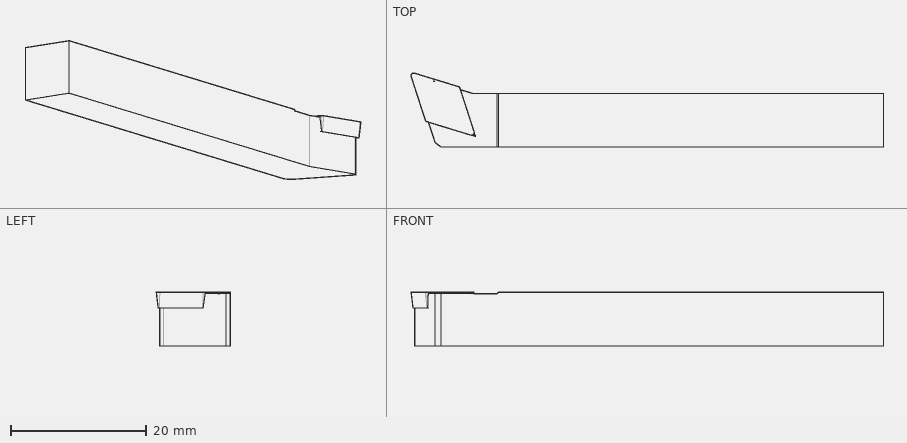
import cadquery as cq
import math

TOTAL_LENGTH = 70.0
SHANK_SIZE = 8.0

TOTAL_WIDTH = 11.0
INSERT_SIDE = 7.8
INSERT_THICKNESS = 2.4
NOSE_ANGLE = 55.0
FACE_TILT = 18.0
RELIEF_ANGLE = 7.0
CORNER_RADIUS = 0.4

HEAD_INSET = 0.35
HEEL_CHAMFER = 0.7
STEP_X = 12.95
STEP_DEPTH = 0.2

LEADING_ANGLE = math.radians(FACE_TILT - 90)
TRAILING_ANGLE = math.radians(FACE_TILT - 90 + NOSE_ANGLE)
BISECTOR_ANGLE = (LEADING_ANGLE + TRAILING_ANGLE) / 2
HALF_NOSE = math.radians(NOSE_ANGLE / 2)


def along(point, angle, distance):
    """Point reached by moving a distance from a point at an angle in the XY plane."""
    return (point[0] + distance * math.cos(angle), point[1] + distance * math.sin(angle))


NOSE_CENTER = (CORNER_RADIUS, TOTAL_WIDTH - CORNER_RADIUS)
TIP = along(NOSE_CENTER, BISECTOR_ANGLE, -CORNER_RADIUS / math.sin(HALF_NOSE))


def diamond():
    """Sketch of the insert's rhombus with sharp corners."""
    heel = along(TIP, LEADING_ANGLE, INSERT_SIDE)
    shoulder = along(TIP, TRAILING_ANGLE, INSERT_SIDE)
    inner = along(heel, TRAILING_ANGLE, INSERT_SIDE)
    return cq.Sketch().polygon([TIP, heel, inner, shoulder, TIP])


def tapered_plate(outline):
    """Plate of the insert's thickness, flush with the shank's top and narrowing downwards."""
    return (
        cq.Workplane("XY", origin=(0, 0, SHANK_SIZE))
        .placeSketch(outline)
        .extrude(-INSERT_THICKNESS, taper=RELIEF_ANGLE)
    )


def make_insert():
    """Rhombic insert with rounded corners."""
    return tapered_plate(diamond().vertices().fillet(CORNER_RADIUS))


def make_holder():
    """Square shank with an angled head, a lowered top and a sharp-cornered seat for the insert."""
    nose = along(TIP, BISECTOR_ANGLE, HEAD_INSET / math.sin(HALF_NOSE))
    heel = along(nose, LEADING_ANGLE, -nose[1] / math.sin(LEADING_ANGLE))
    neck = along(nose, TRAILING_ANGLE, (SHANK_SIZE - nose[1]) / math.sin(TRAILING_ANGLE))

    outline = [
        nose,
        along(heel, LEADING_ANGLE, -HEEL_CHAMFER),
        (heel[0] + HEEL_CHAMFER, 0),
        (TOTAL_LENGTH, 0),
        (TOTAL_LENGTH, SHANK_SIZE),
        neck,
    ]
    body = cq.Workplane("XY").polyline(outline).close().extrude(SHANK_SIZE)
    body = body.edges("|Z").edges(">Y").fillet(CORNER_RADIUS)

    lowered_top = (
        cq.Workplane("XZ")
        .moveTo(0, SHANK_SIZE)
        .lineTo(STEP_X, SHANK_SIZE)
        .lineTo(STEP_X - STEP_DEPTH, SHANK_SIZE - STEP_DEPTH)
        .lineTo(0, SHANK_SIZE - STEP_DEPTH)
        .close()
        .extrude(-TOTAL_WIDTH)
    )
    return body.cut(lowered_top).cut(tapered_plate(diamond()))


insert = make_insert()
holder = make_holder()

result = cq.Compound.makeCompound([holder.val(), insert.val()])